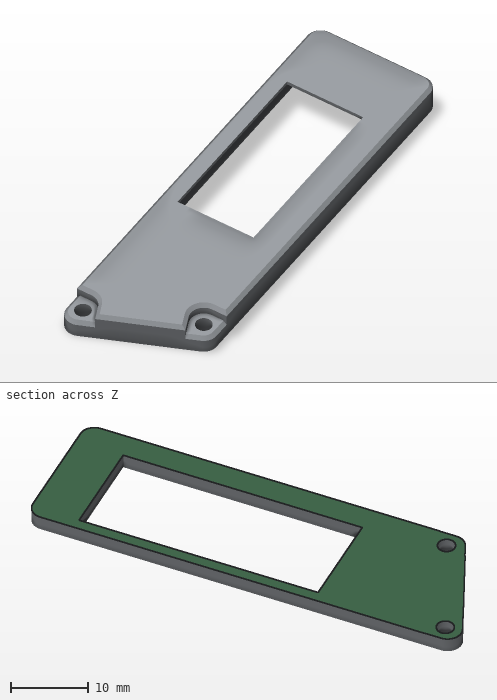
import cadquery as cq
import math

width = 18.97
length = 60.95
height = 4.05
corner_radius = 2.0
edge_chamfer = 0.5

slant_rise = 6.4

ear_height = 2.5
ear_radius = 2.0
screw_diameter = 2.3
screw_offset_x = 7.25
left_screw_y = -28.05
right_screw_y = -21.65

window_width = 11.75
window_length = 25.9
window_center_x = -1.0
window_center_y = 6.7
window_lip = 0.55
recess_margin_x = 1.0
recess_margin_y = 4.0

half_width = width / 2
back_y = length / 2
front_y = -length / 2
corner_x = half_width - corner_radius
slant_angle = math.atan2(slant_rise, 2 * corner_x)

screws = [
    (-1, -screw_offset_x, left_screw_y),
    (1, screw_offset_x, right_screw_y),
]


def plate(thickness):
    """Plate with a slanted front edge, rounded corners and a flat top."""
    left_center_y = front_y + corner_radius
    slant_center_y = left_center_y - corner_radius / math.cos(slant_angle)
    left_front_y = slant_center_y - corner_radius * math.tan(slant_angle)
    right_front_y = left_front_y + width * math.tan(slant_angle)
    outline = [
        (-half_width, left_front_y),
        (half_width, right_front_y),
        (half_width, back_y),
        (-half_width, back_y),
    ]
    return cq.Workplane("XY").polyline(outline).close().extrude(thickness).edges("|Z").fillet(corner_radius)


def ear_clearance(side, x, y):
    """Full-height cutter: an arc round the screw, then straight walls out past the plate edges."""
    reach = 4 * ear_radius
    end_angle = slant_angle + (math.pi if side > 0 else 0)
    middle_angle = (math.pi / 2 + end_angle) / 2

    def on_arc(angle):
        return (x + ear_radius * math.cos(angle), y + ear_radius * math.sin(angle))

    arc_end = on_arc(end_angle)
    wall_end = (
        arc_end[0] + reach * math.sin(slant_angle),
        arc_end[1] - reach * math.cos(slant_angle),
    )
    return (
        cq.Workplane("XY")
        .moveTo(x + side * reach, y + ear_radius)
        .lineTo(x, y + ear_radius)
        .threePointArc(on_arc(middle_angle), arc_end)
        .lineTo(*wall_end)
        .lineTo(x + side * reach, wall_end[1])
        .close()
        .extrude(height)
    )


def body():
    """Low plate that forms the ears, joined to the full-height part; each has a chamfered top edge."""
    low_part = plate(ear_height).faces(">Z").chamfer(edge_chamfer)
    high_part = plate(height)
    for screw in screws:
        high_part = high_part.cut(ear_clearance(*screw))
    high_part = high_part.faces(">Z").chamfer(edge_chamfer)
    return low_part.union(high_part)


def window_cutter():
    """Through window with the larger recess below its thin lip."""
    center = cq.Workplane("XY").center(window_center_x, window_center_y)
    opening = center.rect(window_width, window_length).extrude(height)
    recess_width = window_width + 2 * recess_margin_x
    recess_length = window_length + 2 * recess_margin_y
    recess = center.rect(recess_width, recess_length).extrude(height - window_lip)
    return opening.union(recess)


def screw_holes():
    """Through holes in both ears."""
    centers = [(x, y) for _, x, y in screws]
    return cq.Workplane("XY").pushPoints(centers).circle(screw_diameter / 2).extrude(height)


result = body().cut(window_cutter()).cut(screw_holes())